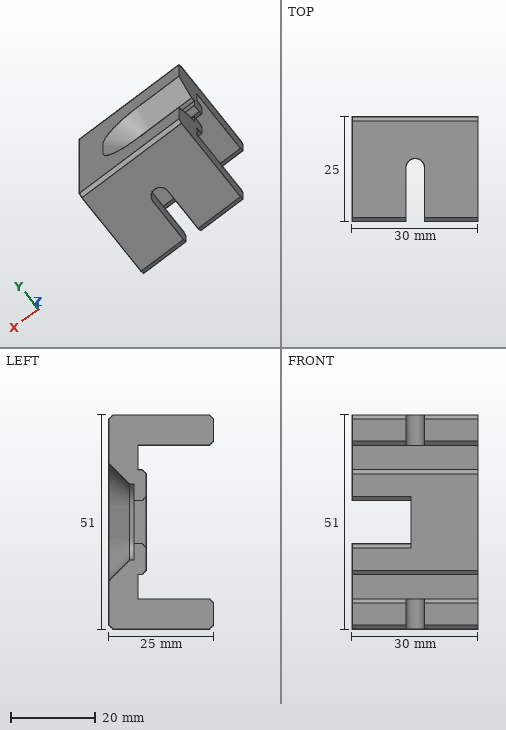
import cadquery as cq

width = 30.0
depth = 25.0
height = 51.0
arm_thickness = 7.25
web_thickness = 7.0
edge_chamfer = 1.0

pad_height = 25.0
pad_face = 9.0

slot_width = 4.4
slot_length = 15.0

window_height = 10.2
window_length = 13.95

recess_lip = 3.95
recess_corner_radius = 5.1
taper_depth = 5.0
recess_depth = 6.0

left_face = -width / 2
back_face = depth
half_height = height / 2
window_end = left_face + window_length
pad_front = back_face - pad_face


def extrude_profile(points, start, length):
    """Extrude a closed YZ outline along +X."""
    return cq.Workplane("YZ", origin=(start, 0, 0)).polyline(points).close().extrude(length)


def make_body():
    """C-shaped section with chamfered corners and a raised web pad."""
    c = edge_chamfer
    arm_inner = half_height - arm_thickness
    pad_top = pad_height / 2
    upper_half = [
        (pad_front, pad_top - c),
        (pad_front + c, pad_top),
        (back_face - web_thickness, pad_top),
        (back_face - web_thickness, arm_inner),
        (c, arm_inner),
        (0, arm_inner + c),
        (0, half_height - c),
        (c, half_height),
        (back_face - c, half_height),
        (back_face, half_height - c),
    ]
    lower_half = [(y, -z) for y, z in reversed(upper_half)]
    return extrude_profile(upper_half + lower_half, left_face, width)


def make_arm_slots():
    """Round-ended slot, running through both arms."""
    radius = slot_width / 2
    round_start = slot_length - radius
    return (
        cq.Workplane("XY", origin=(0, 0, -half_height))
        .moveTo(-radius, 0)
        .lineTo(-radius, round_start)
        .threePointArc((0, slot_length), (radius, round_start))
        .lineTo(radius, 0)
        .close()
        .extrude(height)
    )


def make_window():
    """Rectangular opening with flared upper and lower edges on the pad face."""
    half = window_height / 2
    flared = half + edge_chamfer
    outline = [
        (pad_front, -flared),
        (pad_front + edge_chamfer, -half),
        (back_face, -half),
        (back_face, half),
        (pad_front + edge_chamfer, half),
        (pad_front, flared),
    ]
    return extrude_profile(outline, left_face, window_length)


def recess_block(start_y, length, taper=0):
    """Rounded block extruded toward +Y, widened by a negative taper."""
    floor_height = window_height + 2 * recess_lip
    floor_end = window_end + recess_lip
    floor_length = 2 * (floor_end - left_face)
    sketch = (
        cq.Sketch()
        .rect(floor_length, floor_height)
        .vertices()
        .fillet(recess_corner_radius)
    )
    return (
        cq.Workplane("XZ", origin=(left_face, start_y, 0))
        .placeSketch(sketch)
        .extrude(-length, taper=taper)
    )


def make_recess():
    """Straight-walled floor step followed by a 45 degree flare to the back face."""
    step = recess_block(back_face - recess_depth, recess_depth - taper_depth)
    flare = recess_block(back_face - taper_depth, taper_depth, taper=-45)
    return step.union(flare)


result = make_body().cut(make_arm_slots()).cut(make_window()).cut(make_recess())